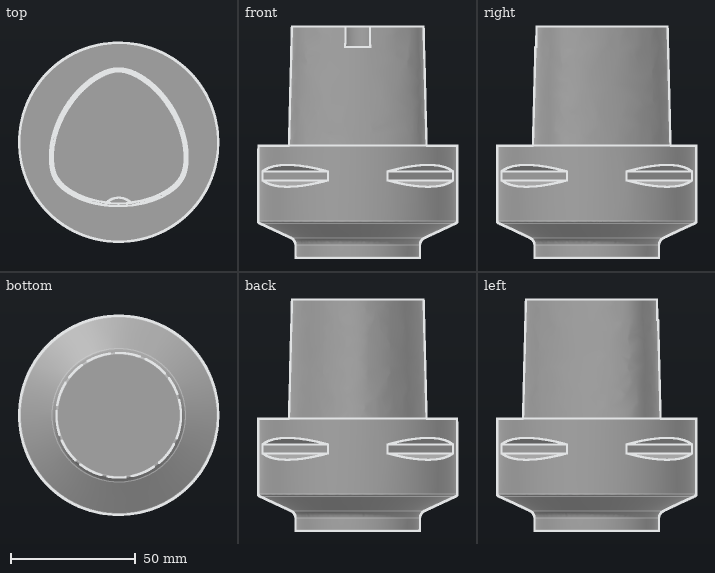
import cadquery as cq
import math

total_height = 93.0
seat_z = 45.1
shank_height = total_height - seat_z

flange_radius = 40.0
flange_bottom_z = 14.2
flange_edge_fillet = 0.9
nose_radius = 25.0
nose_edge_fillet = 0.4
cone_angle = 25.0
neck_fillet = 3.1

shank_base_diameter = 55.3
shank_taper = 1 / 20
lobe_eccentricity = 2.0
curve_points_per_lobe = 16

notch_radius = 7.0
notch_depth = 8.2
notch_inner_y = -22.2

groove_count = 4
groove_first_angle = 45.0
groove_z = 33.0
groove_floor_offset = 35.4
groove_floor_height = 3.5
groove_flank_angle = 30.0


def make_turned_body():
    cone_height = (flange_radius - nose_radius) * math.tan(math.radians(cone_angle))
    neck_z = flange_bottom_z - cone_height
    body = (
        cq.Workplane("XZ")
        .moveTo(0, 0)
        .lineTo(nose_radius, 0)
        .lineTo(nose_radius, neck_z)
        .lineTo(flange_radius, flange_bottom_z)
        .lineTo(flange_radius, seat_z)
        .lineTo(0, seat_z)
        .close()
        .revolve(360, (0, 0, 0), (0, 1, 0))
    )
    for edge_z, radius in (
        (flange_bottom_z, flange_edge_fillet),
        (neck_z, neck_fillet),
        (0, nose_edge_fillet),
    ):
        ring = cq.selectors.NearestToPointSelector((0, 0, edge_z))
        body = body.edges(ring).fillet(radius)
    return body


def lobe_point(diameter, angle):
    """Point on the trochoidal polygon; angle 0 is the middle of the -Y flat side."""
    radius = diameter / 2
    e = lobe_eccentricity
    along = radius * math.cos(angle) - 2 * e * math.cos(2 * angle) + e * math.cos(4 * angle)
    across = radius * math.sin(angle) + 2 * e * math.sin(2 * angle) + e * math.sin(4 * angle)
    return (across, -along)


def lobed_wire(diameter, z):
    count = 3 * curve_points_per_lobe
    points = [lobe_point(diameter, 2 * math.pi * i / count) for i in range(count)]
    spline = cq.Edge.makeSpline([cq.Vector(x, y, z) for x, y in points], periodic=True)
    return cq.Wire.assembleEdges([spline])


def make_shank():
    top_diameter = shank_base_diameter - shank_taper * shank_height
    base = lobed_wire(shank_base_diameter, seat_z)
    top = lobed_wire(top_diameter, total_height)
    return cq.Workplane(cq.Solid.makeLoft([base, top], True))


def make_notch():
    return (
        cq.Workplane("XY", origin=(0, notch_inner_y - notch_radius, total_height - notch_depth))
        .circle(notch_radius)
        .extrude(notch_depth)
    )


def make_groove(angle):
    floor_half = groove_floor_height / 2
    depth = flange_radius - groove_floor_offset
    mouth_half = floor_half + depth * math.tan(math.radians(groove_flank_angle))
    return (
        cq.Workplane("XZ")
        .polyline([
            (groove_floor_offset, groove_z - floor_half),
            (flange_radius, groove_z - mouth_half),
            (flange_radius, groove_z + mouth_half),
            (groove_floor_offset, groove_z + floor_half),
        ])
        .close()
        .extrude(flange_radius, both=True)
        .rotate((0, 0, 0), (0, 0, 1), angle)
    )


result = make_turned_body().union(make_shank()).cut(make_notch())
for index in range(groove_count):
    result = result.cut(make_groove(groove_first_angle + index * 360 / groove_count))